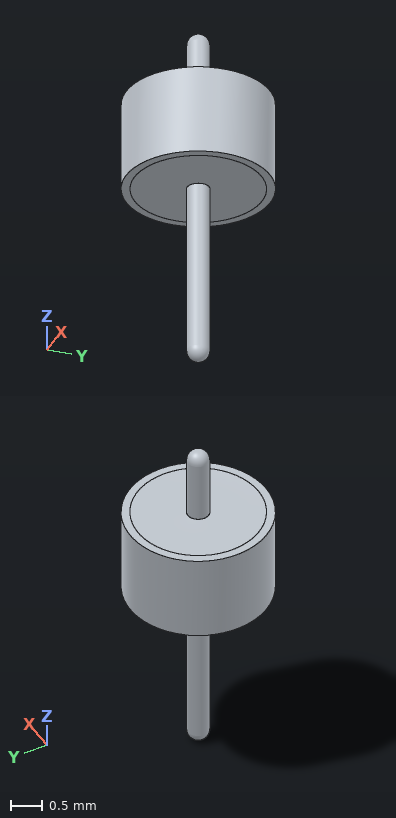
import cadquery as cq

sleeve_diameter = 2.49
sleeve_bore = 2.2
sleeve_height = 1.56

pin_diameter = 0.38
pin_length = 6.02
pin_above_sleeve = 1.28

meniscus_depth = 0.06

bore_radius = sleeve_bore / 2
pin_radius = pin_diameter / 2
pin_top = sleeve_height + pin_above_sleeve
pin_bottom = pin_top - pin_length


def make_sleeve():
    """Plain tube around the glass seal."""
    return (
        cq.Workplane("XY")
        .circle(sleeve_diameter / 2)
        .circle(bore_radius)
        .extrude(sleeve_height)
    )


def make_glass_seal():
    """Glass filling between sleeve and pin, with a concave meniscus on top."""
    meniscus_radius = (pin_radius + bore_radius) / 2
    meniscus_low_point = (meniscus_radius, sleeve_height - meniscus_depth)
    return (
        cq.Workplane("XZ")
        .moveTo(pin_radius, 0)
        .lineTo(bore_radius, 0)
        .lineTo(bore_radius, sleeve_height)
        .threePointArc(meniscus_low_point, (pin_radius, sleeve_height))
        .close()
        .revolve(360, (0, 0, 0), (0, 1, 0))
    )


def make_pin():
    """Round pin, capped by a hemisphere at each end."""
    straight_length = pin_length - pin_diameter
    pin = (
        cq.Workplane("XY", origin=(0, 0, pin_bottom + pin_radius))
        .circle(pin_radius)
        .extrude(straight_length)
    )
    for cap_center in (pin_bottom + pin_radius, pin_top - pin_radius):
        cap = cq.Workplane("XY", origin=(0, 0, cap_center)).sphere(pin_radius)
        pin = pin.union(cap)
    return pin


sleeve = make_sleeve()
glass_seal = make_glass_seal()
pin = make_pin()

result = cq.Compound.makeCompound([sleeve.val(), glass_seal.val(), pin.val()])